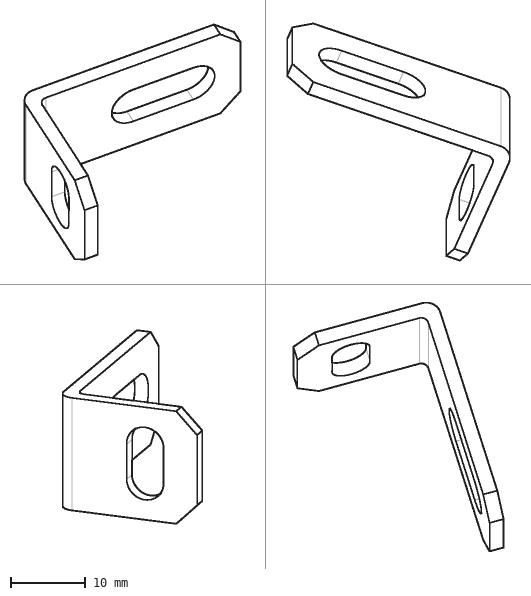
import cadquery as cq

short_leg = 20.0
long_leg = 32.0
height = 16.0

thickness = 2.0
outer_bend_radius = thickness
inner_bend_radius = thickness / 2
corner_chamfer = 3.0

short_leg_slot_length = 10.3
short_leg_slot_width = 5.3
short_leg_slot_x = 12.5

long_leg_slot_length = 15.33
long_leg_slot_width = 6.4
long_leg_slot_y = 20.48

mid_height = height / 2


def bent_sheet():
    """L profile with a rounded bend, its outer corner at the origin."""
    profile = [
        (0, 0),
        (short_leg, 0),
        (short_leg, thickness),
        (thickness, thickness),
        (thickness, long_leg),
        (0, long_leg),
    ]
    sheet = cq.Workplane("XY").polyline(profile).close().extrude(height)
    outer_edge = cq.selectors.NearestToPointSelector((0, 0, mid_height))
    inner_edge = cq.selectors.NearestToPointSelector((thickness, thickness, mid_height))
    sheet = sheet.edges("|Z").edges(inner_edge).fillet(inner_bend_radius)
    return sheet.edges("|Z").edges(outer_edge).fillet(outer_bend_radius)


def short_leg_slot():
    """Cutter through the short leg, along +Y."""
    return (
        cq.Workplane("XZ")
        .center(short_leg_slot_x, mid_height)
        .slot2D(short_leg_slot_length, short_leg_slot_width, 90)
        .extrude(-thickness)
    )


def long_leg_slot():
    """Cutter through the long leg, along +X."""
    return (
        cq.Workplane("YZ")
        .center(long_leg_slot_y, mid_height)
        .slot2D(long_leg_slot_length, long_leg_slot_width)
        .extrude(thickness)
    )


bracket = bent_sheet()
bracket = bracket.faces(">X").edges("|Y").chamfer(corner_chamfer)
bracket = bracket.faces(">Y").edges("|X").chamfer(corner_chamfer)

result = bracket.cut(short_leg_slot()).cut(long_leg_slot())